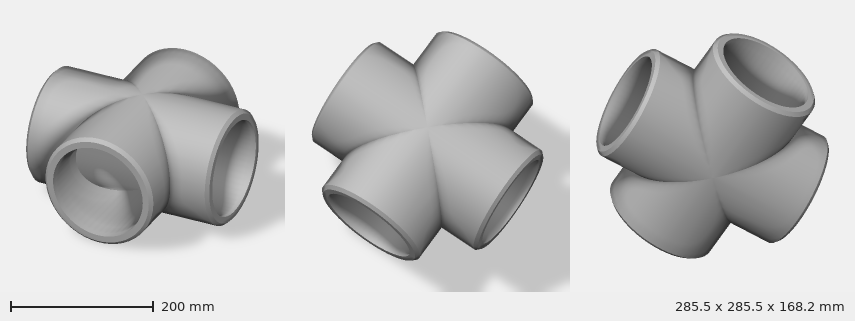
import cadquery as cq

length = 285.5
outer_diameter = 168.2
bore_diameter = 140.0
end_chamfer = 4.9


def centred_cylinder(plane_name, diameter):
    """Full-length cylinder along the normal of the named plane."""
    return cq.Workplane(plane_name).circle(diameter / 2).extrude(length / 2, both=True)


def chamfered_pipe_body(plane_name, end_faces):
    """Solid pipe run with both outer rims chamfered."""
    return centred_cylinder(plane_name, outer_diameter).faces(end_faces).chamfer(end_chamfer)


body = chamfered_pipe_body("YZ", "|X").union(chamfered_pipe_body("XZ", "|Y"))

bores = centred_cylinder("YZ", bore_diameter).union(centred_cylinder("XZ", bore_diameter))

result = body.cut(bores)